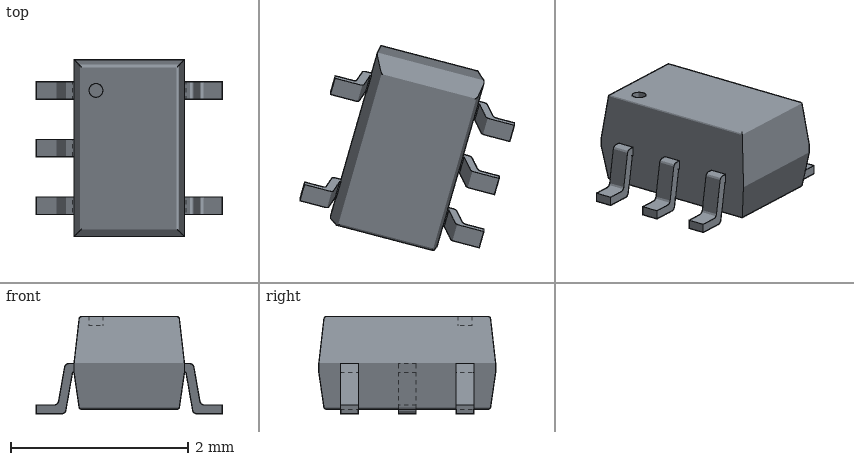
import cadquery as cq
import math

LEAD_SPAN = 2.1
BODY_WIDTH = 1.25
BODY_LENGTH = 2.0
BODY_TOP = 1.1
BODY_BOTTOM = 0.05

BAND_TOP = 0.57
TOP_INSET = 0.06
BOTTOM_INSET = 0.06
BODY_EDGE_RADIUS = 0.034

LEAD_THICKNESS = 0.1
LEAD_WIDTH = 0.2
LEAD_PITCH = 0.65
LEAD_SLOPE = math.radians(10)
BEND_RADIUS = 0.05
SHOULDER_LENGTH = 0.099

MARK_DIAMETER = 0.155
MARK_DEPTH = 0.1
MARK_X = -0.375
MARK_Y = LEAD_PITCH

BAND_BOTTOM = BAND_TOP - LEAD_THICKNESS


def tapered_block(start_z, height, inset):
    """Block from the band outline to one drawn in by the inset; a negative height goes down."""
    draft = math.degrees(math.atan2(inset, abs(height)))
    return (
        cq.Workplane("XY", origin=(0, 0, start_z))
        .rect(BODY_WIDTH, BODY_LENGTH)
        .extrude(height, taper=draft)
    )


def make_body():
    """Moulded body with rounded top and bottom edges and a round pin 1 recess."""
    band = tapered_block(BAND_BOTTOM, LEAD_THICKNESS, 0)
    upper = tapered_block(BAND_TOP, BODY_TOP - BAND_TOP, TOP_INSET)
    lower = tapered_block(BAND_BOTTOM, BODY_BOTTOM - BAND_BOTTOM, BOTTOM_INSET)
    body = band.union(upper).union(lower)
    body = body.faces(">Z or <Z").edges().fillet(BODY_EDGE_RADIUS)
    mark = (
        cq.Workplane("XY", origin=(MARK_X, MARK_Y, BODY_TOP - MARK_DEPTH))
        .circle(MARK_DIAMETER / 2)
        .extrude(MARK_DEPTH)
    )
    return body.cut(mark).solids()


def make_lead():
    """Lead on the -X side at Y = 0: shoulder, sloping leg and flat foot."""
    tip_x = -LEAD_SPAN / 2
    body_x = -BODY_WIDTH / 2
    leg_width = LEAD_THICKNESS / math.cos(LEAD_SLOPE)
    shoulder_x = body_x - SHOULDER_LENGTH

    def outer_x(z):
        return shoulder_x - (BAND_TOP - z) * math.tan(LEAD_SLOPE)

    def inner_x(z):
        return outer_x(z) + leg_width

    shoulder_corner = (shoulder_x, BAND_TOP)
    foot_corner = (outer_x(LEAD_THICKNESS), LEAD_THICKNESS)
    heel_corner = (inner_x(0), 0)
    lead = (
        cq.Workplane("XZ")
        .polyline([
            (body_x, BAND_TOP),
            shoulder_corner,
            foot_corner,
            (tip_x, LEAD_THICKNESS),
            (tip_x, 0),
            heel_corner,
            (inner_x(BAND_BOTTOM), BAND_BOTTOM),
            (body_x, BAND_BOTTOM),
        ])
        .close()
        .extrude(LEAD_WIDTH / 2, both=True)
    )
    for x, z in (shoulder_corner, foot_corner, heel_corner):
        bend = cq.selectors.NearestToPointSelector((x, 0, z))
        lead = lead.edges("|Y").edges(bend).fillet(BEND_RADIUS)
    return lead.solids()


def place_lead(side, row):
    """Lead on the given side (-1 or 1 along X), in the given row along Y."""
    lead = make_lead()
    if side > 0:
        lead = lead.mirror("YZ")
    return lead.translate((0, row * LEAD_PITCH, 0)).solids()


LEAD_ROWS = {-1: (-1, 0, 1), 1: (-1, 1)}

body = make_body()
leads = [place_lead(side, row) for side, rows in LEAD_ROWS.items() for row in rows]

result = cq.Compound.makeCompound([body.val(), *[lead.val() for lead in leads]])